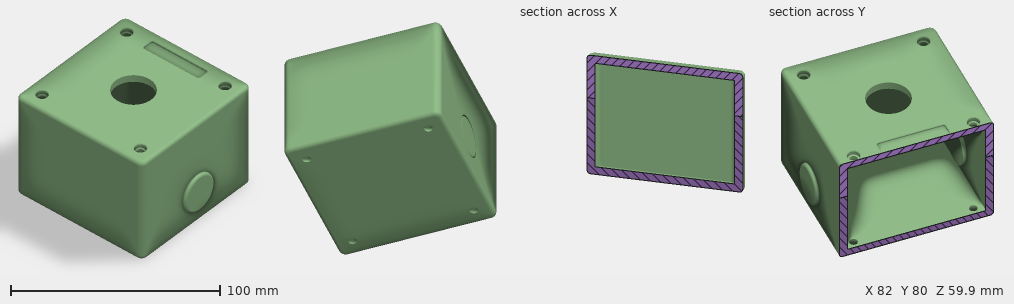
import cadquery as cq

width = 80.0
height = 59.9
lid_height = 21.8
base_height = height - lid_height
corner_radius = 3.45
rim_radius = 2.0

wall = 4.0
cavity_width = width - 2 * wall
cavity_corner_radius = 3.0

screw_offset = 31.0
screw_positions = [(sx * screw_offset, sy * screw_offset) for sx in (-1, 1) for sy in (-1, 1)]
lid_screw_diameter = 4.0
base_screw_diameter = 4.2
screw_head_diameter = 6.2
screw_head_depth = 2.3

button_diameter = 22.3
label_length = 35.35
label_width = 6.9
label_depth = 1.0
label_corner_radius = 1.2
label_y = 30.6
edge_chamfer = 0.3

plug_diameter = 21.4
plug_z = 18.45
plug_fillet = 1.5
plug_protrusion = 2.0
plug_length = wall + plug_protrusion
left_plug_x = -width / 2
right_plug_x = width / 2 + plug_protrusion


def rounded_block(side, radius, bottom, block_height):
    """Square block with rounded vertical corners, standing on Z = bottom."""
    block = cq.Workplane("XY", origin=(0, 0, bottom)).rect(side, side).extrude(block_height)
    return block.edges("|Z").fillet(radius)


def corner_holes(diameter, bottom, depth):
    """Four cylinders on the screw axes, rising from Z = bottom."""
    plane = cq.Workplane("XY", origin=(0, 0, bottom))
    return plane.pushPoints(screw_positions).circle(diameter / 2).extrude(depth)


def button_hole():
    """Central cylinder through the lid for the push button."""
    plane = cq.Workplane("XY", origin=(0, 0, base_height))
    return plane.circle(button_diameter / 2).extrude(lid_height)


def label_recess():
    """Shallow rectangular pocket with rounded corners for the label."""
    plane = cq.Workplane("XY", origin=(0, label_y, height - label_depth))
    pocket = plane.rect(label_length, label_width).extrude(label_depth)
    return pocket.edges("|Z").fillet(label_corner_radius)


def plug_blank(outer_x):
    """Plain cylinder along X whose outer end lies at X = outer_x and which runs towards the centre."""
    inward = -1 if outer_x > 0 else 1
    plane = cq.Workplane("YZ", origin=(outer_x, 0, plug_z))
    return plane.circle(plug_diameter / 2).extrude(inward * plug_length)


def make_plug(outer_x):
    """Cable-entry plug with a rounded outer rim."""
    outer_edge = ">X" if outer_x > 0 else "<X"
    return plug_blank(outer_x).faces(outer_edge).edges().fillet(plug_fillet)


def make_lid():
    """Hollow cover with the button hole, label recess and counterbored screw holes."""
    lid = rounded_block(width, corner_radius, base_height, lid_height)
    lid = lid.faces(">Z").edges().fillet(rim_radius)
    lid = lid.cut(rounded_block(cavity_width, cavity_corner_radius, base_height, lid_height - wall))
    lid = lid.cut(corner_holes(lid_screw_diameter, base_height, lid_height))
    lid = lid.cut(corner_holes(screw_head_diameter, height - screw_head_depth, screw_head_depth))
    lid = lid.cut(label_recess())

    recess_edges = [edge for wire in lid.faces(">Z").val().innerWires() for edge in wire.Edges()]
    lid = lid.newObject(recess_edges).chamfer(edge_chamfer)

    return lid.cut(button_hole())


def make_base():
    """Open box with screw holes in its floor and a plugged cable entry in each X wall."""
    base = rounded_block(width, corner_radius, 0, base_height)
    base = base.faces("<Z").edges().fillet(rim_radius)
    base = base.cut(rounded_block(cavity_width, cavity_corner_radius, wall, base_height - wall))
    base = base.cut(corner_holes(base_screw_diameter, 0, wall))
    for outer_x in (left_plug_x, right_plug_x):
        base = base.cut(plug_blank(outer_x))
    return base


lid = make_lid()
base = make_base()
plugs = [make_plug(outer_x) for outer_x in (left_plug_x, right_plug_x)]

result = cq.Compound.makeCompound([lid.val(), base.val(), *[plug.val() for plug in plugs]])